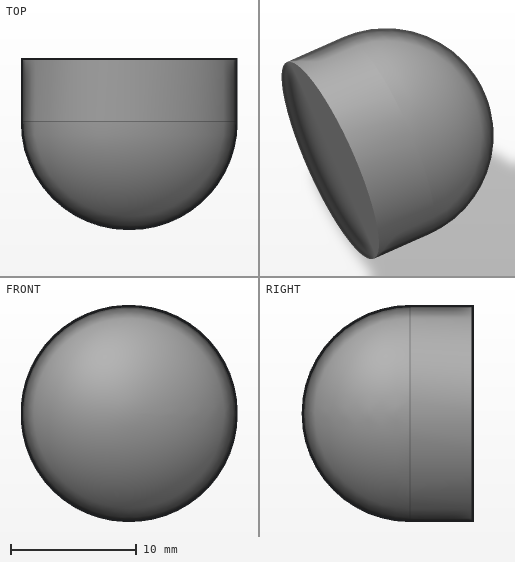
import cadquery as cq

diameter = 17.2
skirt_length = 5.0

radius = diameter / 2

half_profile = (
    cq.Workplane("XY")
    .moveTo(0, -radius)
    .radiusArc((radius, 0), -radius)
    .lineTo(radius, skirt_length)
    .lineTo(0, skirt_length)
    .close()
)

result = half_profile.revolve(360, (0, 0), (0, 1))